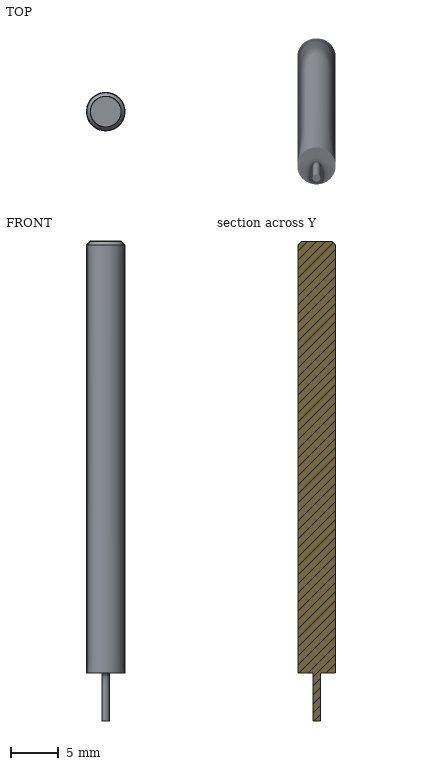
import cadquery as cq

total_length = 50.0
body_diameter = 4.0
pin_length = 5.0
pin_diameter = 0.8
top_chamfer = 0.4
body_length = total_length - pin_length


def cylinder(diameter, bottom, length):
    """Round bar on the Z axis starting at height bottom."""
    return cq.Workplane("XY").workplane(offset=bottom).circle(diameter / 2).extrude(length)


body = cylinder(body_diameter, pin_length, body_length).faces(">Z").chamfer(top_chamfer)

pin = cylinder(pin_diameter, 0, pin_length)

result = body.union(pin)